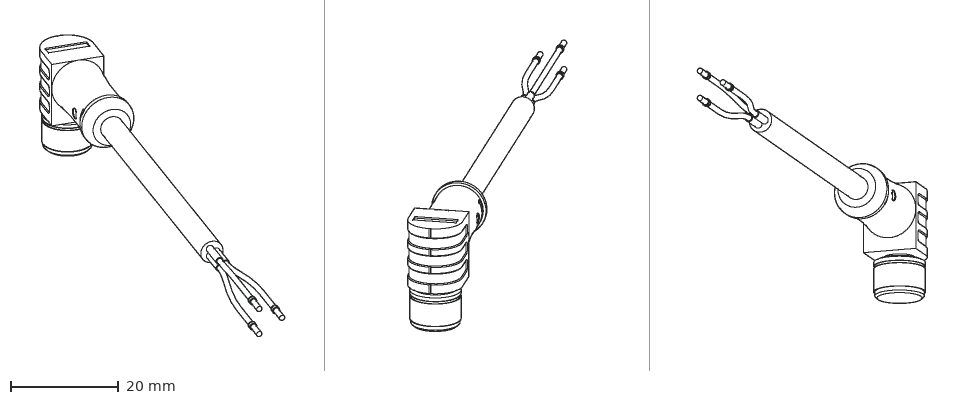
import cadquery as cq
import math


housing_radius = 5.15
housing_end_x = 5.7
housing_top_z = housing_radius
housing_bottom_z = -7.6

grip_count = 3
grip_middle_z = -1.28
grip_pitch = 3.47
grip_width = 2.3
grip_depth = 0.2
grip_end_x = 4.4
grip_corner_radius = 0.8
grip_taper_angle = 45
grip_draft = grip_depth * math.tan(math.radians(grip_taper_angle))

key_width = 0.35
key_depth = 0.1
label_width = 1.9
label_length = 8.2
label_depth = 0.3

neck_diameter = 5.65
nut_diameter = 9.6
nut_groove_diameter = 9.3
nut_end_diameter = 9.2
nut_top_diameter = 8.2
nut_top_z = -8.2
nut_bottom_z = -15.35
nut_top_bevel_height = 0.35
nut_groove_top_z = -9.3
nut_groove_bottom_z = -9.75
nut_lip_z = -14.2
nut_bottom_chamfer = 0.4

sleeve_diameter = 9.3
sleeve_root_diameter = 2 * housing_radius
sleeve_cone_end_x = 12.1
flange_diameter = 2 * housing_radius
flange_start_x = 21.1
flange_end_x = 22.1
sleeve_end_x = 24.3
sleeve_end_diameter = 7.4

dimple_diameter = 2.0
dimple_x = 16.6
dimple_floor_y = 4.45
notch_start_x = 19.75
notch_end_x = 20.45
notch_floor_y = 4.0

jacket_diameter = 4.4
jacket_end_x = 79.05
wire_count = 3
bundle_wire_diameter = 1.4
bundle_end_x = 84.4
bundle_pitch_radius = 0.82
wire_diameter = 1.07
wire_bend_x = 89.1
wire_straight_x = 97.8
wire_pitch_radius = 3.0
collar_diameter = 1.4
collar_start_x = 105.0
collar_end_x = 105.9
conductor_diameter = 1.05
wire_end_x = 109.15


def rod_along_x(diameter, start_x, end_x, y=0.0):
    """Round bar parallel to X, offset sideways by y."""
    plane = cq.Workplane("YZ", origin=(start_x, y, 0))
    return plane.circle(diameter / 2).extrude(end_x - start_x)


def make_housing():
    height = housing_top_z - housing_bottom_z
    return (
        cq.Workplane("XY", origin=(0, 0, housing_bottom_z))
        .moveTo(0, housing_radius)
        .threePointArc((-housing_radius, 0), (0, -housing_radius))
        .lineTo(housing_end_x, -housing_radius)
        .lineTo(housing_end_x, housing_radius)
        .close()
        .extrude(height)
    )


def make_grip_flank(center_z):
    """Drafted recess in the -Y flank, rounded at its closed end."""
    length = grip_end_x + grip_draft
    outline = cq.Sketch().rect(length, grip_width).vertices(">X").fillet(grip_corner_radius)
    middle_x = (grip_end_x - grip_draft) / 2
    plane = cq.Workplane("XZ", origin=(middle_x, -housing_radius, center_z))
    return plane.placeSketch(outline).extrude(-grip_depth, taper=grip_taper_angle)


def make_grip_wrap(center_z):
    """Drafted groove running round the half-round back."""
    half_width = grip_width / 2
    floor_radius = housing_radius - grip_depth
    return (
        cq.Workplane("XZ")
        .moveTo(-housing_radius, center_z - half_width)
        .lineTo(-floor_radius, center_z - half_width + grip_draft)
        .lineTo(-floor_radius, center_z + half_width - grip_draft)
        .lineTo(-housing_radius, center_z + half_width)
        .close()
        .revolve(180, (0, 0, 0), (0, 1, 0))
        .rotate((0, 0, 0), (0, 0, 1), -90)
    )


def cut_grips(body):
    for index in range(grip_count):
        center_z = grip_middle_z + (index - (grip_count - 1) / 2) * grip_pitch
        flank = make_grip_flank(center_z)
        body = body.cut(make_grip_wrap(center_z))
        body = body.cut(flank).cut(flank.mirror("XZ"))
    return body


def cut_housing_marks(body):
    height = housing_top_z - housing_bottom_z
    middle_z = (housing_top_z + housing_bottom_z) / 2
    key = cq.Workplane("XY").box(2 * key_depth, key_width, height)
    key = key.translate((-housing_radius, 0, middle_z))
    label = cq.Workplane("XY").box(label_width, label_length, 2 * label_depth)
    return body.cut(key).cut(label.translate((0, 0, housing_top_z)))


def make_nut():
    """Neck and coupling nut, turned about Z."""
    neck_radius = neck_diameter / 2
    nut_radius = nut_diameter / 2
    groove_radius = nut_groove_diameter / 2
    end_radius = nut_end_diameter / 2
    return (
        cq.Workplane("XZ")
        .moveTo(0, housing_bottom_z)
        .lineTo(neck_radius, housing_bottom_z)
        .lineTo(neck_radius, nut_top_z)
        .lineTo(nut_top_diameter / 2, nut_top_z)
        .lineTo(nut_radius, nut_top_z - nut_top_bevel_height)
        .lineTo(nut_radius, nut_groove_top_z)
        .lineTo(groove_radius, nut_groove_top_z)
        .lineTo(groove_radius, nut_groove_bottom_z)
        .lineTo(nut_radius, nut_groove_bottom_z)
        .lineTo(nut_radius, nut_lip_z)
        .lineTo(end_radius, nut_lip_z)
        .lineTo(end_radius, nut_bottom_z + nut_bottom_chamfer)
        .lineTo(end_radius - nut_bottom_chamfer, nut_bottom_z)
        .lineTo(0, nut_bottom_z)
        .close()
        .revolve(360, (0, 0, 0), (0, 1, 0))
    )


def make_sleeve():
    """Tapered sleeve with an end flange, turned about X."""
    sleeve_radius = sleeve_diameter / 2
    flange_radius = flange_diameter / 2
    return (
        cq.Workplane("XZ")
        .moveTo(housing_end_x, 0)
        .lineTo(housing_end_x, sleeve_root_diameter / 2)
        .lineTo(sleeve_cone_end_x, sleeve_radius)
        .lineTo(flange_start_x, sleeve_radius)
        .lineTo(flange_start_x, flange_radius)
        .lineTo(flange_end_x, flange_radius)
        .lineTo(sleeve_end_x, sleeve_end_diameter / 2)
        .lineTo(sleeve_end_x, 0)
        .close()
        .revolve(360, (0, 0, 0), (1, 0, 0))
    )


def cut_sleeve_marks(sleeve):
    """Round flat-floored dimple and straight notch on each flank."""
    dimple_plane = cq.Workplane("XZ", origin=(dimple_x, -dimple_floor_y, 0))
    dimple = dimple_plane.circle(dimple_diameter / 2).extrude(housing_radius - dimple_floor_y)
    notch_depth = housing_radius - notch_floor_y
    notch = cq.Workplane("XY").box(notch_end_x - notch_start_x, notch_depth, sleeve_diameter)
    notch_x = (notch_start_x + notch_end_x) / 2
    notch = notch.translate((notch_x, -(housing_radius + notch_floor_y) / 2, 0))
    for mark in (dimple, notch):
        sleeve = sleeve.cut(mark).cut(mark.mirror("XZ"))
    return sleeve


def make_spread_wire():
    """S-bend of two tangent arcs from the bundle out to the spread spacing."""
    bend_fraction = (wire_bend_x - bundle_end_x) / (wire_straight_x - bundle_end_x)
    bend_y = bundle_pitch_radius + bend_fraction * (wire_pitch_radius - bundle_pitch_radius)
    start = cq.Vector(bundle_end_x, bundle_pitch_radius, 0)
    bend = cq.Vector(wire_bend_x, bend_y, 0)
    end = cq.Vector(wire_straight_x, wire_pitch_radius, 0)
    along_x = cq.Vector(1, 0, 0)
    outward_arc = cq.Edge.makeTangentArc(start, along_x, bend)
    inward_arc = cq.Edge.makeTangentArc(bend, outward_arc.tangentAt(1), end)
    path = cq.Wire.assembleEdges([outward_arc, inward_arc])
    section = cq.Workplane("YZ", origin=start.toTuple()).circle(wire_diameter / 2)
    return section.sweep(cq.Workplane("XY").newObject([path]))


def make_wire():
    """One wire lying in the XY plane: bundled part, S-bend, straight end, collar and conductor."""
    bundled = rod_along_x(bundle_wire_diameter, jacket_end_x, bundle_end_x, bundle_pitch_radius)
    straight = rod_along_x(wire_diameter, wire_straight_x, collar_start_x, wire_pitch_radius)
    collar = rod_along_x(collar_diameter, collar_start_x, collar_end_x, wire_pitch_radius)
    conductor = rod_along_x(conductor_diameter, collar_end_x, wire_end_x, wire_pitch_radius)
    return bundled.union(make_spread_wire()).union(straight).union(collar).union(conductor)


def make_cable():
    cable = rod_along_x(jacket_diameter, sleeve_end_x, jacket_end_x)
    wire = make_wire()
    for index in range(wire_count):
        angle = index * 360 / wire_count
        cable = cable.union(wire.rotate((0, 0, 0), (1, 0, 0), angle))
    return cable


housing = cut_housing_marks(cut_grips(make_housing()))
sleeve = cut_sleeve_marks(make_sleeve())
assembly = housing.union(make_nut()).union(sleeve).union(make_cable())
result = cq.Workplane("XY").newObject([assembly.solids().val()])